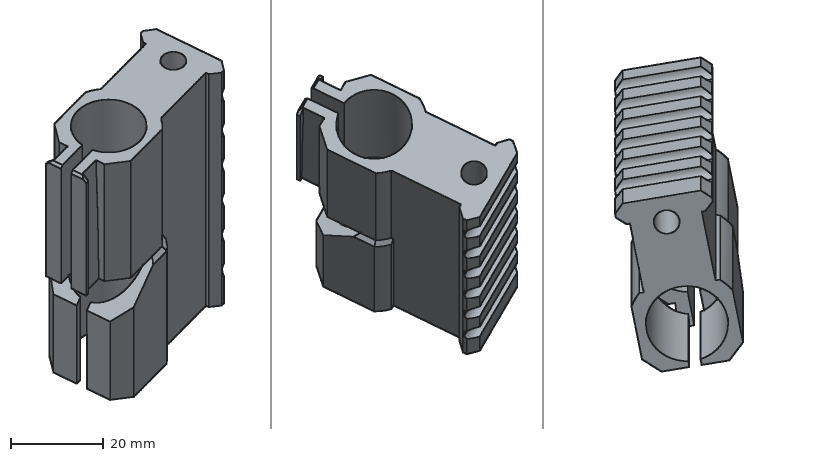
import cadquery as cq
import math

HEIGHT = 70.6
STEP_Z = 35.15
UPPER_HEIGHT = HEIGHT - STEP_Z

RAIL_HALF_WIDTH = 10.65
RAIL_FACE_HALF_WIDTH = 8.6
RAIL_BEVEL_END = 2.1
RAIL_FLAT_END = 3.05
RAIL_DEPTH = 5.0
WEB_HALF_WIDTH = 7.9
GROOVE_COUNT = 6
GROOVE_PITCH = 10.6
GROOVE_WIDTH = 5.15
GROOVE_DEPTH = 2.75
GROOVE_ROUND_START = 0.4
FIRST_GROOVE_FROM_TOP = 7.5
ROD_HOLE_DIAMETER = 5.6
ROD_HOLE_DEPTH = 6.0

CLAMP_FRONT = 40.75
BORE_AXIS = 30.5
UPPER_BORE_DIAMETER = 16.4
LOWER_BORE_DIAMETER = 17.8
SLIT_WIDTH = 2.7
LOWER_WIDTH = 22.25
LOWER_HALF_WIDTH = LOWER_WIDTH / 2
CLAMP_BACK = 21.5
LOWER_SHOULDER_RADIUS = 12.65
LOWER_FRONT_BEVEL = 3.7
RIM_CHAMFER = 1.05
UPPER_FRONT_BEVEL = 4.1
SLOPE_START = 28.5
SLOPE_FRONT_Z = 23.7

EAR_FRONT = 46.7
FLANGE_THICKNESS = 0.85
FLANGE_HALF_WIDTH = 5.3
FLANGE_TOP_CHAMFER_DROP = 0.7
FLANGE_TOP_CHAMFER_SETBACK = 0.6
FLANGE_CORNER_CHAMFER = 1.4
EAR_TOP_HALF_WIDTH = 3.75
EAR_UPPER_BEND_HALF_WIDTH = 4.25
EAR_LOWER_BEND_HALF_WIDTH = 4.4
EAR_FOOT_HALF_WIDTH = 4.5
EAR_UPPER_BEND_Z = 53.6
EAR_LOWER_BEND_Z = 42.65
EAR_FOOT_HEIGHT = 0.5


def mirrored_prism(half_outline, bottom, height):
    """Extrude an XY outline given by its +X half as (half width, depth) points."""
    right = [(x, -depth) for x, depth in half_outline]
    left = [(-x, y) for x, y in reversed(right)]
    return cq.Workplane("XY").workplane(offset=bottom).polyline(right + left).close().extrude(height)


def front_plate(half_outline, back, front):
    """Extrude an XZ outline, given by its +X half, between two depths."""
    left = [(-x, z) for x, z in reversed(half_outline)]
    plane = cq.Workplane("XZ", origin=(0, -back, 0))
    return plane.polyline(half_outline + left).close().extrude(front - back)


def make_rail():
    outline = [
        (RAIL_FACE_HALF_WIDTH, 0),
        (RAIL_HALF_WIDTH, RAIL_BEVEL_END),
        (RAIL_HALF_WIDTH, RAIL_FLAT_END),
        (RAIL_FACE_HALF_WIDTH, RAIL_DEPTH),
        (WEB_HALF_WIDTH, RAIL_DEPTH),
        (WEB_HALF_WIDTH, BORE_AXIS),
    ]
    return mirrored_prism(outline, 0, HEIGHT)


def make_grooves():
    """Grooves across the rail with a round bottom that ends in a flat floor."""
    radius = GROOVE_WIDTH / 2
    floor_half_width = math.sqrt(radius**2 - (GROOVE_DEPTH - GROOVE_ROUND_START) ** 2)
    groove = (
        cq.Workplane("YZ", origin=(-RAIL_HALF_WIDTH, 0, 0))
        .moveTo(0, -radius)
        .lineTo(-GROOVE_ROUND_START, -radius)
        .radiusArc((-GROOVE_DEPTH, -floor_half_width), radius)
        .lineTo(-GROOVE_DEPTH, floor_half_width)
        .radiusArc((-GROOVE_ROUND_START, radius), radius)
        .lineTo(0, radius)
        .close()
        .extrude(2 * RAIL_HALF_WIDTH)
    )
    first_z = HEIGHT - FIRST_GROOVE_FROM_TOP
    grooves = cq.Workplane("XY")
    for index in range(GROOVE_COUNT):
        grooves = grooves.add(groove.translate((0, 0, first_z - index * GROOVE_PITCH)))
    return grooves.combine()


def clamp_prism(half_width, shoulder_radius, front_bevel, bottom, height):
    """Extrude a clamp outline with bevelled front corners and rounded back corners."""
    back_half_width = math.sqrt(shoulder_radius**2 - (BORE_AXIS - CLAMP_BACK) ** 2)
    side_start = BORE_AXIS - math.sqrt(shoulder_radius**2 - half_width**2)
    half = (
        cq.Workplane("XY", origin=(0, 0, bottom))
        .moveTo(0, -CLAMP_FRONT)
        .lineTo(half_width - front_bevel, -CLAMP_FRONT)
        .lineTo(half_width, front_bevel - CLAMP_FRONT)
        .lineTo(half_width, -side_start)
        .radiusArc((back_half_width, -CLAMP_BACK), -shoulder_radius)
        .lineTo(0, -CLAMP_BACK)
        .close()
        .extrude(height)
    )
    return half.union(half.mirror("YZ")).clean()


def make_lower_clamp():
    body = clamp_prism(LOWER_HALF_WIDTH, LOWER_SHOULDER_RADIUS, LOWER_FRONT_BEVEL, 0, STEP_Z)
    body = body.faces(">Z").edges("not(>Y or <Y)").chamfer(RIM_CHAMFER)
    slope = (
        cq.Workplane("YZ", origin=(-LOWER_HALF_WIDTH, 0, 0))
        .polyline([(-SLOPE_START, STEP_Z), (-CLAMP_FRONT, SLOPE_FRONT_Z), (-CLAMP_FRONT, STEP_Z)])
        .close()
        .extrude(2 * LOWER_HALF_WIDTH)
    )
    return body.cut(slope)


def make_upper_clamp():
    half_width = LOWER_HALF_WIDTH - RIM_CHAMFER
    shoulder_radius = LOWER_SHOULDER_RADIUS - RIM_CHAMFER
    return clamp_prism(half_width, shoulder_radius, UPPER_FRONT_BEVEL, STEP_Z, UPPER_HEIGHT)


def make_ears():
    """Build both ears as one block; the slit later separates them."""
    web_outline = [
        (EAR_TOP_HALF_WIDTH, HEIGHT),
        (EAR_UPPER_BEND_HALF_WIDTH, EAR_UPPER_BEND_Z),
        (EAR_LOWER_BEND_HALF_WIDTH, EAR_LOWER_BEND_Z),
        (EAR_FOOT_HALF_WIDTH, STEP_Z + EAR_FOOT_HEIGHT),
        (EAR_FOOT_HALF_WIDTH, STEP_Z),
    ]
    flange_outline = [
        (FLANGE_HALF_WIDTH - FLANGE_CORNER_CHAMFER, HEIGHT),
        (FLANGE_HALF_WIDTH, HEIGHT - FLANGE_CORNER_CHAMFER),
        (FLANGE_HALF_WIDTH, STEP_Z),
    ]
    web = front_plate(web_outline, CLAMP_FRONT, EAR_FRONT - FLANGE_THICKNESS)
    flange = front_plate(flange_outline, EAR_FRONT - FLANGE_THICKNESS, EAR_FRONT)
    chamfer = (
        cq.Workplane("YZ", origin=(-FLANGE_HALF_WIDTH, 0, 0))
        .polyline([
            (-EAR_FRONT, HEIGHT),
            (-EAR_FRONT + FLANGE_TOP_CHAMFER_SETBACK, HEIGHT),
            (-EAR_FRONT, HEIGHT - FLANGE_TOP_CHAMFER_DROP),
        ])
        .close()
        .extrude(2 * FLANGE_HALF_WIDTH)
    )
    return web.union(flange).cut(chamfer)


def vertical_hole(depth, diameter, bottom, height):
    return cq.Workplane("XY", origin=(0, -depth, bottom)).circle(diameter / 2).extrude(height)


def make_slit():
    length = EAR_FRONT - BORE_AXIS
    center = (0, -(BORE_AXIS + EAR_FRONT) / 2, 0)
    return cq.Workplane("XY", origin=center).rect(SLIT_WIDTH, length).extrude(HEIGHT)


body = make_rail().union(make_lower_clamp()).union(make_upper_clamp()).union(make_ears())
result = (
    body.cut(make_grooves())
    .cut(vertical_hole(ROD_HOLE_DEPTH, ROD_HOLE_DIAMETER, 0, HEIGHT))
    .cut(vertical_hole(BORE_AXIS, LOWER_BORE_DIAMETER, 0, STEP_Z))
    .cut(vertical_hole(BORE_AXIS, UPPER_BORE_DIAMETER, STEP_Z, UPPER_HEIGHT))
    .cut(make_slit())
)